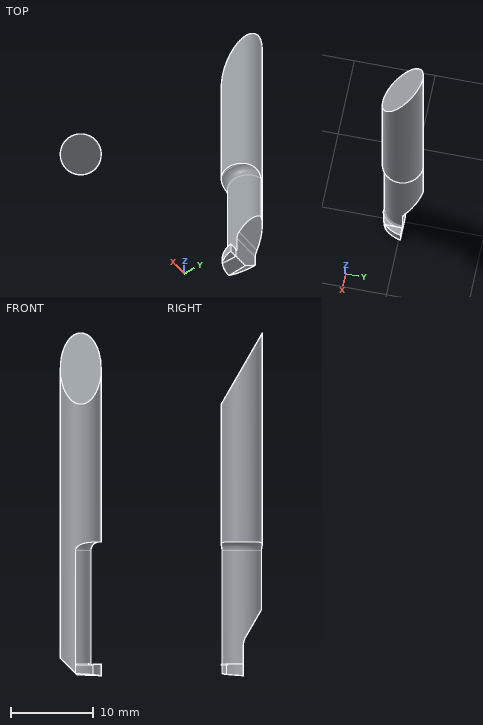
import cadquery as cq
import math

length = 41.6
radius = 2.5
bevel_slope = math.tan(math.radians(60))
margin = 4.15

flat_y = 0.2
back_cut_height = 8.2
back_fillet = 2.08

neck_shift = -1.25
neck_top = 16.2
neck_top_fillet = 1.0
neck_floor = 1.3
neck_floor_fillet = 0.2

corner_cut_height = 2.15
tip_x = 1.45
tip_front_y = -1.87
tip_top = 1.4
head_left_x = neck_shift / 2
head_left_y = -math.sqrt(radius**2 - head_left_x**2)
front_bulge = 0.145
tip_bulge = 0.187
relief_front = 0.06
relief_side = 0.04


def arc_middle(start, end, bulge):
    """Middle point of an arc that bulges to the right of start -> end."""
    dx = end[0] - start[0]
    dy = end[1] - start[1]
    chord = math.hypot(dx, dy)
    x = (start[0] + end[0]) / 2 + bulge * dy / chord
    y = (start[1] + end[1]) / 2 - bulge * dx / chord
    return (x, y)


def make_rod():
    rod = cq.Workplane("XY").circle(radius).extrude(length)
    front_height = length - 2 * radius * bevel_slope
    reach = margin * bevel_slope
    bevel = (
        cq.Workplane("YZ")
        .polyline([
            (-radius - margin, front_height - reach),
            (radius + margin, length + reach),
            (-radius - margin, length + reach),
        ])
        .close()
        .extrude(radius + margin, both=True)
    )
    return rod.cut(bevel)


def back_cutter():
    """Removes the back half, running out on a slope with a rounded foot."""
    foot_z = back_cut_height - (radius - flat_y) * bevel_slope
    tangent = back_fillet * math.tan(math.radians(15))
    arc_start = (flat_y, foot_z - tangent)
    arc_end = (flat_y + tangent / 2, foot_z + tangent * math.cos(math.radians(30)))
    half_turn = math.radians(15)
    arc_mid = (
        flat_y + back_fillet * (1 - math.cos(half_turn)),
        arc_start[1] + back_fillet * math.sin(half_turn),
    )
    return (
        cq.Workplane("YZ")
        .moveTo(flat_y, -margin)
        .lineTo(*arc_start)
        .threePointArc(arc_mid, arc_end)
        .lineTo(radius + margin, back_cut_height + margin * bevel_slope)
        .lineTo(radius + margin, -margin)
        .close()
        .extrude(radius + margin, both=True)
    )


def neck_cutter():
    """Ring around the neck axis, leaving the neck with rounded ends."""
    outside = 2 * radius + margin
    diagonal = 1 - math.sqrt(0.5)
    low = neck_floor_fillet
    high = neck_top_fillet
    return (
        cq.Workplane("XZ")
        .moveTo(outside, neck_floor)
        .lineTo(radius + low, neck_floor)
        .threePointArc(
            (radius + low * diagonal, neck_floor + low * diagonal),
            (radius, neck_floor + low),
        )
        .lineTo(radius, neck_top - high)
        .threePointArc(
            (radius + high * diagonal, neck_top - high * diagonal),
            (radius + high, neck_top),
        )
        .lineTo(outside, neck_top)
        .close()
        .revolve(360, (0, 0, 0), (0, 1, 0))
        .translate((neck_shift, 0, 0))
    )


def corner_cutter():
    """Bevels the lower corner on the -X side at 45 degrees."""
    return (
        cq.Workplane("XZ")
        .polyline([
            (-radius - margin, corner_cut_height + margin),
            (-radius + corner_cut_height + margin, -margin),
            (-radius - margin, -margin),
        ])
        .close()
        .extrude(radius + margin, both=True)
    )


def underside_cutter():
    """Everything under the sloping underside, whose lowest point is the tip's end."""
    size = 4 * radius
    normal = cq.Vector(relief_side, relief_front, 1)
    plane = cq.Plane(origin=(radius, flat_y, 0), xDir=(1, 0, -relief_side), normal=normal)
    return cq.Workplane(plane).rect(2 * size, 2 * size).extrude(-size)


def head_front_cutter(height):
    """Trims the rod to the flatter front arc of the head, and clears the tip's place."""
    left = (head_left_x, head_left_y)
    right = (tip_x, tip_front_y)
    return (
        cq.Workplane("XY")
        .moveTo(*left)
        .threePointArc(arc_middle(left, right, front_bulge), right)
        .lineTo(tip_x, radius + margin)
        .lineTo(radius + margin, radius + margin)
        .lineTo(radius + margin, -radius - margin)
        .lineTo(head_left_x, -radius - margin)
        .close()
        .extrude(height)
    )


def make_bar():
    return (
        make_rod()
        .cut(back_cutter())
        .cut(neck_cutter())
        .cut(head_front_cutter(neck_floor))
        .cut(corner_cutter())
        .cut(underside_cutter())
    )


def make_tip():
    front = (tip_x, tip_front_y)
    end = (radius, flat_y)
    tip = (
        cq.Workplane("XY")
        .moveTo(*front)
        .threePointArc(arc_middle(front, end, tip_bulge), end)
        .lineTo(tip_x, flat_y)
        .close()
        .extrude(tip_top)
    )
    return tip.cut(underside_cutter())


bar = make_bar()
tip = make_tip()

result = cq.Compound.makeCompound([bar.val(), tip.val()])